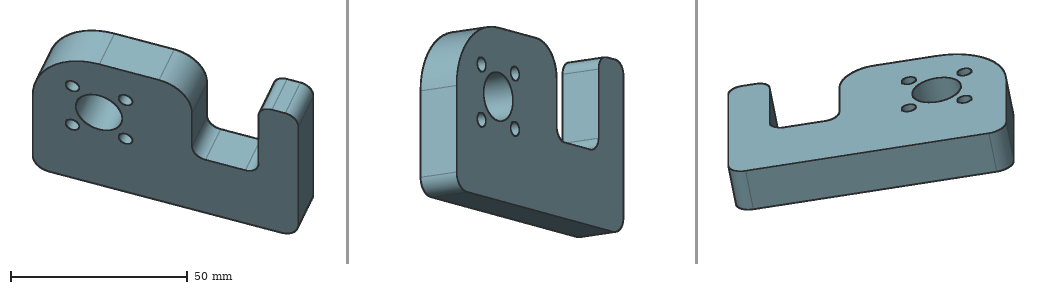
import cadquery as cq

length = 80.0
height = 50.0
thickness = 12.7

body_length = 48.0
arm_width = 12.0
slot_floor = 22.0
slot_width = length - body_length - arm_width

shoulder_radius = 20.0
body_top_radius = 10.0
bottom_radius = 5.0
slot_radius = 4.0
arm_tip_radius = 4.0

bore_diameter = 14.0
bore_x = shoulder_radius
bore_z = height - shoulder_radius
screw_diameter = 4.1
screw_spacing = 16.0


def box_at(x, z, size_x, size_z):
    """Full-thickness block with its lower left corner at (x, z)."""
    return cq.Workplane("XY").box(size_x, thickness, size_z, centered=False).translate((x, 0, z))


def round_corner(body, x, z, radius):
    """Fillet the through-thickness edge that passes through (x, z)."""
    edge = cq.selectors.NearestToPointSelector((x, thickness / 2, z))
    return body.edges("|Y").edges(edge).fillet(radius)


def make_plate():
    plate = box_at(0, 0, length, height)
    slot = box_at(body_length, slot_floor, slot_width, height - slot_floor)
    plate = plate.cut(slot)
    arm_left = length - arm_width
    corners = [
        (0, 0, bottom_radius),
        (length, 0, bottom_radius),
        (0, height, shoulder_radius),
        (body_length, height, body_top_radius),
        (body_length, slot_floor, slot_radius),
        (arm_left, slot_floor, slot_radius),
        (arm_left, height, arm_tip_radius),
        (length, height, arm_tip_radius),
    ]
    for x, z, radius in corners:
        plate = round_corner(plate, x, z, radius)
    return plate


def make_holes():
    """Through cutters; the XZ workplane normal is -Y, so they extrude by a negative distance."""
    face = cq.Workplane("XZ").center(bore_x, bore_z)
    bore = face.circle(bore_diameter / 2).extrude(-thickness)
    screws = (
        face.rect(screw_spacing, screw_spacing, forConstruction=True)
        .vertices()
        .circle(screw_diameter / 2)
        .extrude(-thickness)
    )
    return bore.union(screws)


result = make_plate().cut(make_holes())